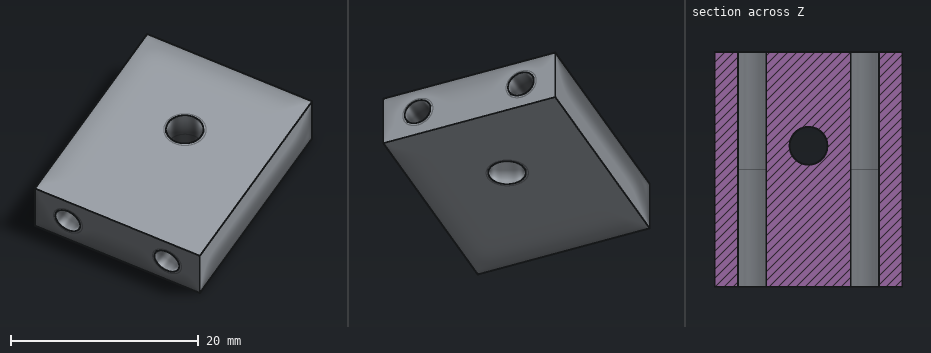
import cadquery as cq

width = 20.0
length = 25.0
height = 6.0

sleeve_wall = 0.25

vertical_bore = 4.0
vertical_offset_y = 2.5

long_bore = 3.0
long_spacing = 12.0


def add_lined_hole(body, plane, bore, depth):
    """Bore through the body along the plane normal and fuse in a flush sleeve.

    The fuse is left uncleaned so the sleeve ends stay separate, coplanar faces.
    """
    outer_diameter = bore + 2 * sleeve_wall
    hole = cq.Workplane(plane).circle(outer_diameter / 2).extrude(depth / 2, both=True)
    sleeve = (
        cq.Workplane(plane)
        .circle(outer_diameter / 2)
        .circle(bore / 2)
        .extrude(depth / 2, both=True)
    )
    return body.cut(hole, clean=False).union(sleeve, clean=False)


result = cq.Workplane("XY").box(width, length, height)

vertical_plane = cq.Plane.named("XY", origin=(0, vertical_offset_y, 0))
result = add_lined_hole(result, vertical_plane, vertical_bore, height)

for side in (-1, 1):
    long_plane = cq.Plane.named("XZ", origin=(side * long_spacing / 2, 0, 0))
    result = add_lined_hole(result, long_plane, long_bore, length)